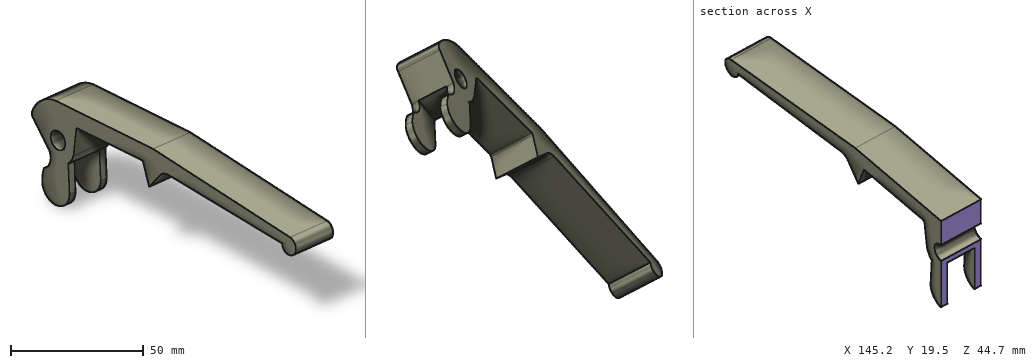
import cadquery as cq
import math

length = 145.2
width = 19.5
height = 44.7

bar_thickness = 7.3
bend_x = 66.5
grip_drop = math.radians(6.7)
grip_end_radius = 3.9
grip_end_x = length - grip_end_radius
grip_underside_start = (72.3, -7.7)
grip_underside_end = (137.5, -13.2)

tooth_root_x = 61.0
tooth_tip = (64.5, -17.1)
tooth_root_fillet = 0.7
grip_root_fillet = 5.1

nose_top_x = 13.0
nose_mid = (4.2, -3.8)
nose_arc_end = (0.1, -9.6)
nose_tip = (0.0, -10.7)
nose_bottom = (0.7, -12.2)

hub_bar_corner_x = 24.5
hub_fillet = 0.9
hub_back = (23.0, -19.6)
hub_back_mid = (22.0, -21.8)
neck_front = (9.6, -22.6)
neck_back = (20.0, -24.4)
pivot = (14.4, -16.5)
pivot_diameter = 8.0

prong_thickness = 3.2
prong_radius = 7.5
prong_x = 13.2
prong_z = prong_radius - height
neck_front_mid = (10.0, -27.6)
prong_front_start = (6.7, -31.4)


def lever_profile():
    """Closed side outline of the complete lever, extruded across the width."""
    grip_top_x = grip_end_x + grip_end_radius * math.sin(grip_drop)
    grip_top_z = -(grip_top_x - bend_x) * math.tan(grip_drop)
    grip_end_z = grip_top_z - grip_end_radius * math.cos(grip_drop)
    diagonal = grip_end_radius * math.sqrt(0.5)
    return (
        cq.Workplane("XZ", origin=(0, width / 2, 0))
        .moveTo(nose_top_x, 0)
        .lineTo(bend_x, 0)
        .lineTo(grip_top_x, grip_top_z)
        .threePointArc((length, grip_end_z), (grip_end_x, grip_end_z - grip_end_radius))
        .threePointArc((grip_end_x - diagonal, grip_end_z - diagonal), grip_underside_end)
        .lineTo(*grip_underside_start)
        .lineTo(*tooth_tip)
        .lineTo(tooth_root_x, -bar_thickness)
        .lineTo(hub_bar_corner_x, -bar_thickness)
        .lineTo(*hub_back)
        .threePointArc(hub_back_mid, neck_back)
        .lineTo(prong_x + prong_radius, prong_z)
        .threePointArc((prong_x, -height), (prong_x - prong_radius, prong_z))
        .tangentArcPoint(prong_front_start, relative=False)
        .threePointArc(neck_front_mid, neck_front)
        .lineTo(*nose_bottom)
        .threePointArc(nose_tip, nose_arc_end)
        .threePointArc(nose_mid, (nose_top_x, 0))
        .close()
        .extrude(width)
    )


def round_corner(body, corner, radius):
    """Fillet the crosswise edge at an (X, Z) corner."""
    edge = cq.selectors.NearestToPointSelector((corner[0], 0, corner[1]))
    return body.edges("|Y").edges(edge).fillet(radius)


def fork_slot():
    """Space between the prongs, closed above by the sloping hub underside."""
    return (
        cq.Workplane("XZ", origin=(0, width / 2 - prong_thickness, 0))
        .moveTo(*neck_front)
        .lineTo(*neck_back)
        .lineTo(length, neck_back[1])
        .lineTo(length, -height)
        .lineTo(0, -height)
        .lineTo(0, neck_front[1])
        .close()
        .extrude(width - 2 * prong_thickness)
    )


def pivot_hole():
    return (
        cq.Workplane("XZ", origin=(0, width / 2, 0))
        .center(*pivot)
        .circle(pivot_diameter / 2)
        .extrude(width)
    )


lever = lever_profile()
lever = round_corner(lever, grip_underside_start, grip_root_fillet)
lever = round_corner(lever, (tooth_root_x, -bar_thickness), tooth_root_fillet)
lever = round_corner(lever, (hub_bar_corner_x, -bar_thickness), hub_fillet)
result = lever.cut(fork_slot()).cut(pivot_hole())